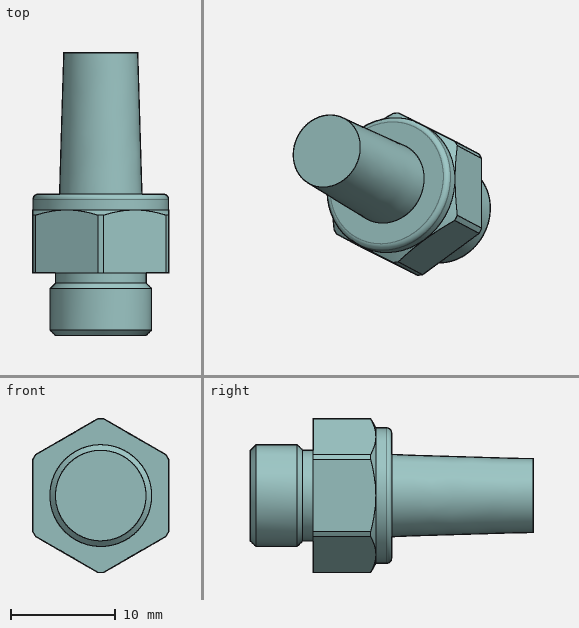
import cadquery as cq
import math

spigot_chamfer = 0.55
groove_start = 5.0
hex_start = 6.0
hex_end = 12.0
collar_end = 13.5
total_length = 27.0

spigot_radius = 9.72 / 2
groove_radius = 8.7 / 2
hex_across_flats = 13.0
hex_corner_radius = 14.7 / 2
collar_radius = 12.95 / 2
collar_fillet = 0.5
stem_root_radius = 3.95
stem_tip_radius = 3.55
hex_chamfer_angle = math.radians(30)


def revolve_about_y(points):
    """Revolve a closed (radius, Y) outline about the Y axis."""
    return cq.Workplane("XY").polyline(points).close().revolve(360, (0, 0, 0), (0, 1, 0))


def make_spigot():
    """Chamfered spigot with a narrower groove next to the hexagon."""
    groove_depth = spigot_radius - groove_radius
    return revolve_about_y([
        (0, 0),
        (spigot_radius - spigot_chamfer, 0),
        (spigot_radius, spigot_chamfer),
        (spigot_radius, groove_start - groove_depth),
        (groove_radius, groove_start),
        (groove_radius, hex_start),
        (0, hex_start),
    ])


def make_hexagon():
    """Hexagon with its corners turned round, chamfered on the collar side."""
    prism = (
        cq.Workplane("XZ", origin=(0, hex_start, 0))
        .polygon(6, hex_across_flats, circumscribed=True)
        .extrude(hex_start - hex_end)
    )
    chamfer_length = (hex_corner_radius - collar_radius) * math.tan(hex_chamfer_angle)
    envelope = revolve_about_y([
        (0, hex_start),
        (hex_corner_radius, hex_start),
        (hex_corner_radius, hex_end - chamfer_length),
        (collar_radius, hex_end),
        (0, hex_end),
    ])
    return prism.intersect(envelope)


def make_collar():
    """Round collar behind the hexagon with a rounded rear edge."""
    collar = revolve_about_y([
        (0, hex_end),
        (collar_radius, hex_end),
        (collar_radius, collar_end),
        (0, collar_end),
    ])
    return collar.faces(">Y").edges().fillet(collar_fillet)


def make_stem():
    """Stem tapering towards its free end."""
    return revolve_about_y([
        (0, collar_end),
        (stem_root_radius, collar_end),
        (stem_tip_radius, total_length),
        (0, total_length),
    ])


result = make_spigot().union(make_hexagon()).union(make_collar()).union(make_stem())